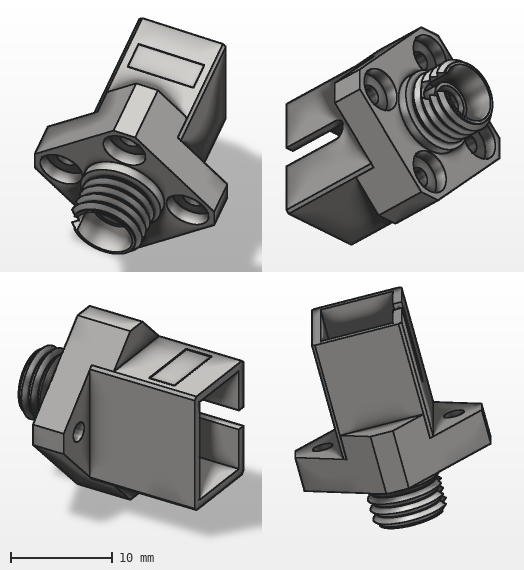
import cadquery as cq
import math


FLANGE_REACH = 9.52
FLANGE_FLAT = 2.3
FLANGE_THICKNESS = 3.57
FLANGE_THICKNESS_AT_BODY = 6.12

HOLE_OFFSET = 6.7
HOLE_RADIUS = 1.02
COUNTERBORE_RADIUS = 2.23
COUNTERBORE_DEPTH = 1.4

BODY_WIDTH = 9.18
BODY_HEIGHT = 12.85
BODY_BACK = 15.73
BODY_CHAMFER = 0.32
BODY_WALL = 0.9
CAVITY_FLOOR = FLANGE_THICKNESS
LABEL_WIDTH = 6.97
LABEL_LENGTH = 2.93
LABEL_CENTER = 11.23
LABEL_DEPTH = 0.1

COLLAR_RADIUS = 4.25
COLLAR_LENGTH = 1.05
PORT_LENGTH = 5.53
THREAD_CREST_RADIUS = 3.8
THREAD_ROOT_RADIUS = 3.32
THREAD_PITCH = 1.06
THREAD_COUNT = 4
FIRST_CREST = 1.68
PORT_BORE_RADIUS = 3.02
PORT_BORE_FLOOR = -0.49

TUBE_RADIUS = 2.17
TUBE_FRONT = -3.0
TUBE_BACK = 9.25
TUBE_BACK_CHAMFER = 0.28
FERRULE_RADIUS = 1.4
FERRULE_LEAD_IN = 0.36

SLOT_WIDTH = 2.15
BODY_SLOT_END = 7.61
PORT_SLOT_END = -2.34


def cylinder_y(radius, start, end, x=0, z=0):
    """Cylinder parallel to Y between two Y positions."""
    axis_start = cq.Vector(x, start, z)
    return cq.Workplane(cq.Solid.makeCylinder(radius, end - start, axis_start, cq.Vector(0, 1, 0)))


def extrude_y(sketch, start, end):
    """Extrude an outline drawn on the XZ plane between two Y positions."""
    return sketch.extrude(start - end).translate((0, start, 0))


def revolve_y(points):
    """Solid of revolution about Y from (radius, Y) points."""
    return cq.Workplane("XY").polyline(points).close().revolve(360, (0, 0, 0), (0, 1, 0))


def flange_outline():
    half_flat = FLANGE_FLAT / 2
    quarter = [(FLANGE_REACH, -half_flat), (FLANGE_REACH, half_flat)]
    points = []
    for _ in range(4):
        points += quarter
        quarter = [(-z, x) for x, z in quarter]
    return cq.Workplane("XZ").polyline(points).close()


def make_flange():
    plate = extrude_y(flange_outline(), 0, FLANGE_THICKNESS)
    deep_plate = extrude_y(flange_outline(), 0, FLANGE_THICKNESS_AT_BODY)
    body_strip = extrude_y(
        cq.Workplane("XZ").rect(BODY_WIDTH, 2 * FLANGE_REACH), 0, FLANGE_THICKNESS_AT_BODY
    )
    return plate.union(deep_plate.intersect(body_strip))


def make_body():
    """Block whose corner chamfers stand just proud of the slanted flange sides."""
    block = extrude_y(cq.Workplane("XZ").rect(BODY_WIDTH, BODY_HEIGHT), FLANGE_THICKNESS, BODY_BACK)
    return block.edges("|Y").chamfer(BODY_CHAMFER)


def make_cavity():
    outline = cq.Workplane("XZ").rect(BODY_WIDTH - 2 * BODY_WALL, BODY_HEIGHT - 2 * BODY_WALL)
    return extrude_y(outline, CAVITY_FLOOR, BODY_BACK)


def make_threaded_port():
    """Collar and core with ring-shaped 45 degree thread ridges."""
    ridge_half_width = THREAD_CREST_RADIUS - THREAD_ROOT_RADIUS
    profile = [
        (0, 0),
        (COLLAR_RADIUS, 0),
        (COLLAR_RADIUS, -COLLAR_LENGTH),
        (THREAD_ROOT_RADIUS, -COLLAR_LENGTH),
    ]
    for index in range(THREAD_COUNT):
        crest = -FIRST_CREST - index * THREAD_PITCH
        profile += [
            (THREAD_ROOT_RADIUS, crest + ridge_half_width),
            (THREAD_CREST_RADIUS, crest),
            (THREAD_ROOT_RADIUS, crest - ridge_half_width),
        ]
    profile += [(THREAD_ROOT_RADIUS, -PORT_LENGTH), (0, -PORT_LENGTH)]
    return revolve_y(profile)


def make_tube():
    tube = cylinder_y(TUBE_RADIUS, TUBE_FRONT, TUBE_BACK)
    return tube.faces(">Y").edges().chamfer(TUBE_BACK_CHAMFER)


def make_ferrule_hole():
    """Through hole with a conical lead-in at the front end of the tube."""
    return revolve_y([
        (0, TUBE_FRONT),
        (FERRULE_RADIUS + FERRULE_LEAD_IN, TUBE_FRONT),
        (FERRULE_RADIUS, TUBE_FRONT + FERRULE_LEAD_IN),
        (FERRULE_RADIUS, TUBE_BACK),
        (0, TUBE_BACK),
    ])


def make_screw_holes():
    holes = cq.Workplane()
    for quarter_turn in range(4):
        angle = math.radians(90 * quarter_turn)
        x = HOLE_OFFSET * math.cos(angle)
        z = HOLE_OFFSET * math.sin(angle)
        holes = holes.add(cylinder_y(HOLE_RADIUS, 0, FLANGE_THICKNESS, x, z))
        holes = holes.add(cylinder_y(COUNTERBORE_RADIUS, 0, COUNTERBORE_DEPTH, x, z))
    return holes.combine()


def make_key_slot(open_end, round_end):
    """Slot along Y reaching from the axis out through the -X side."""
    radius = SLOT_WIDTH / 2
    arc_center = round_end + math.copysign(radius, open_end - round_end)
    return (
        cq.Workplane("YZ")
        .moveTo(open_end, -radius)
        .lineTo(arc_center, -radius)
        .threePointArc((round_end, 0), (arc_center, radius))
        .lineTo(open_end, radius)
        .close()
        .extrude(-BODY_WIDTH)
    )


def make_label_recess():
    return (
        cq.Workplane("XY")
        .box(LABEL_WIDTH, LABEL_LENGTH, 2 * LABEL_DEPTH)
        .translate((0, LABEL_CENTER, BODY_HEIGHT / 2))
    )


shell = make_flange().union(make_body()).union(make_threaded_port())
shell = shell.cut(make_screw_holes())
shell = shell.cut(make_cavity())
shell = shell.cut(cylinder_y(PORT_BORE_RADIUS, -PORT_LENGTH, PORT_BORE_FLOOR))
shell = shell.cut(make_key_slot(BODY_BACK, BODY_SLOT_END))
shell = shell.cut(make_key_slot(-PORT_LENGTH, PORT_SLOT_END))
shell = shell.cut(make_label_recess())

result = shell.union(make_tube()).cut(make_ferrule_hole())